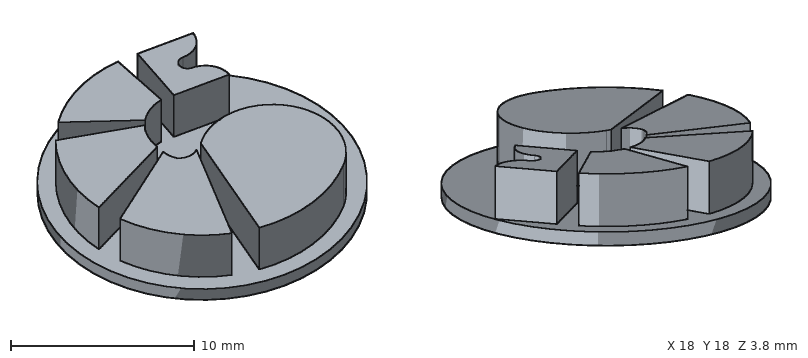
import cadquery as cq
import math

disc_radius = 9
total_height = 3.8
disc_thickness = 0.8
relief_height = total_height - disc_thickness
rim_radius = 8.0

head_radius = rim_radius / 2
head_tangent_angle = 45
head_end_angle = -6.8
head_inner_corner = (0.23, -0.22)

block_left = -rim_radius
block_width = rim_radius / 2
block_bottom = 0.5
block_top = rim_radius / 2
notch_radius = 0.5
shoulder_radius = (block_width - 2 * notch_radius) / 2

hollow_center = (-1.26, 0.35)
hollow_radius = 2.8

hollow_segments = [
    ((185.3, 229.8), (192.7, 232.7)),
    ((240.7, 285.5), (241.5, 281.5)),
]

hook_rim_angles = (296.2, 342)
hook_start = (-0.18, -2.34)
hook_tail_middle = (0.23, -2.23)
hook_joint = (0.65, -1.96)
hook_middle = (0.85, -1.37)
hook_end = (0.58, -0.68)


def polar(radius, angle, center=(0, 0)):
    """Point at an angle in degrees on a circle."""
    turn = math.radians(angle)
    return (center[0] + radius * math.cos(turn), center[1] + radius * math.sin(turn))


def raised_plane():
    return cq.Workplane("XY").workplane(offset=disc_thickness)


def rim_outline(start_angle, end_angle):
    """Open outline that runs along the rim arc."""
    return (
        raised_plane()
        .moveTo(*polar(rim_radius, start_angle))
        .threePointArc(
            polar(rim_radius, (start_angle + end_angle) / 2),
            polar(rim_radius, end_angle),
        )
    )


def make_head():
    center = polar(rim_radius - head_radius, head_tangent_angle)
    middle_angle = head_tangent_angle + 90
    return (
        rim_outline(head_end_angle, head_tangent_angle)
        .threePointArc(
            polar(head_radius, middle_angle, center),
            (0, 0),
        )
        .lineTo(*head_inner_corner)
        .close()
        .extrude(relief_height)
    )


def make_block():
    block_right = block_left + block_width
    notch_x = block_left + block_width / 2
    notch_y = block_top - shoulder_radius
    return (
        raised_plane()
        .moveTo(block_left, block_bottom)
        .lineTo(block_left, block_top)
        .threePointArc(
            polar(shoulder_radius, 45, (block_left, notch_y)),
            (notch_x - notch_radius, notch_y),
        )
        .threePointArc((notch_x, notch_y - notch_radius), (notch_x + notch_radius, notch_y))
        .threePointArc(
            polar(shoulder_radius, 135, (block_right, notch_y)),
            (block_right, block_top),
        )
        .lineTo(block_right, block_bottom)
        .close()
        .extrude(relief_height)
    )


def make_hollow_segment(rim_angles, hollow_angles):
    start_angle, end_angle = hollow_angles
    return (
        rim_outline(*rim_angles)
        .lineTo(*polar(hollow_radius, end_angle, hollow_center))
        .threePointArc(
            polar(hollow_radius, (start_angle + end_angle) / 2, hollow_center),
            polar(hollow_radius, start_angle, hollow_center),
        )
        .close()
        .extrude(relief_height)
    )


def make_hook_segment():
    start_angle, end_angle = hook_rim_angles
    return (
        rim_outline(start_angle, end_angle)
        .lineTo(*hook_end)
        .threePointArc(hook_middle, hook_joint)
        .threePointArc(hook_tail_middle, hook_start)
        .close()
        .extrude(relief_height)
    )


result = cq.Workplane("XY").circle(disc_radius).extrude(disc_thickness)
result = result.union(make_head()).union(make_block()).union(make_hook_segment())
for segment_rim_angles, segment_hollow_angles in hollow_segments:
    result = result.union(make_hollow_segment(segment_rim_angles, segment_hollow_angles))